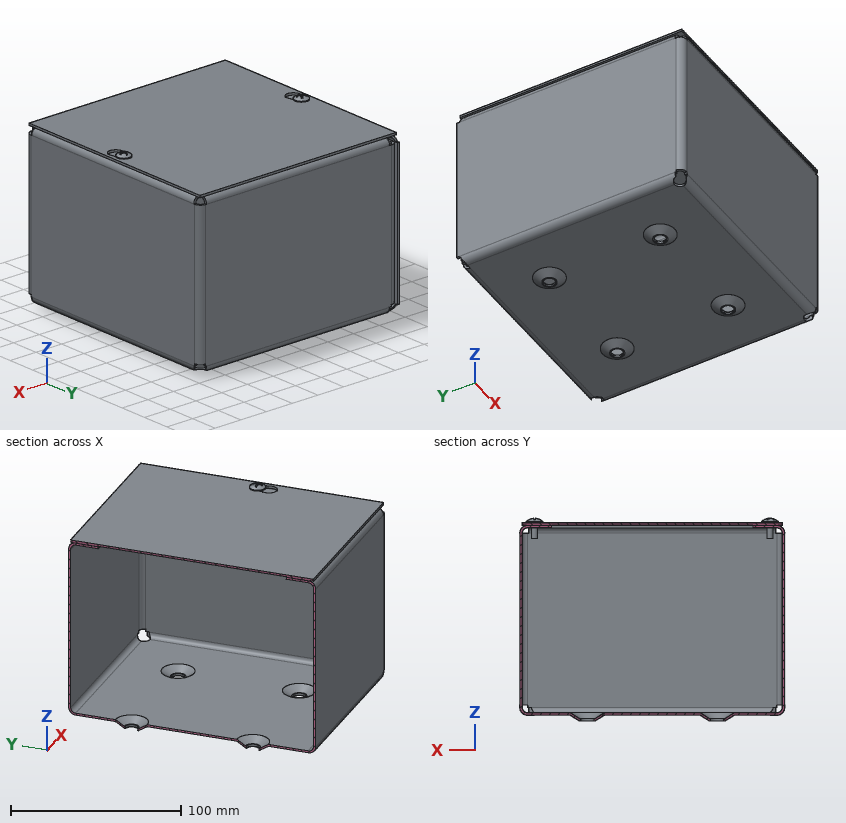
import cadquery as cq
import math

side = 155.5
half_side = side / 2
height = 111.5
sheet = 1.5
bend_radius = 4.7
inner_radius = bend_radius - sheet
flange_width = 18.7

notch_side = 5.3
lower_notch_height = 6.0
relief_diameter = 7.6

seam_notch_x = 7.8
seam_flange_start = 1.9
tab_length = 15.5

foot_offset = 38.1
foot_top_diameter = 19.9
foot_bottom_diameter = 9.0
foot_depth = 3.5
foot_hole_diameter = 7.6

lid_side = 152.8
lid_thickness = sheet
keyhole_diameter = 9.8
keyhole_neck = 8.5
keyhole_shift = 7.2

screw_offset = 69.0
head_diameter = 9.8
head_height = 2.6
head_rim = 0.6
shank_diameter = 3.7
shank_length = 9.3
recess_span = 5.8
recess_width = 1.1
recess_depth = 2.3
recess_taper = 8.0
left_recess_turn = -30.0

SCREW_SPOTS = [(-screw_offset, left_recess_turn), (screw_offset, 0.0)]


def block(x_range, y_range, z_range):
    """Axis-aligned box between the given limits."""
    size = [high - low for low, high in (x_range, y_range, z_range)]
    corner = (x_range[0], y_range[0], z_range[0])
    return cq.Workplane("XY").box(*size, centered=False).translate(corner)


def rounded_block(inset, radius):
    """Box envelope moved in by inset, with every edge rounded but the upright one at the seam."""
    lower, upper = -half_side + inset, half_side - inset
    body = block((lower, upper), (lower, upper), (inset, height - inset))
    return body.edges("|X or |Y or (|Z and (not (<X and >Y)))").fillet(radius)


def folded_shell():
    """Hollow box of even sheet thickness, open at the top inside the rim."""
    opening = half_side - flange_width
    shell = rounded_block(0, bend_radius).cut(rounded_block(sheet, inner_radius))
    return shell.cut(block((-opening, opening), (-opening, opening), (height / 2, height)))


def corner_block(x_sign, y_sign, width, z_range):
    """Square block that fills one upright corner of the box."""
    x_range = sorted((x_sign * half_side, x_sign * (half_side - width)))
    y_range = sorted((y_sign * half_side, y_sign * (half_side - width)))
    return block(x_range, y_range, z_range)


def corner_relief(x_sign, y_sign):
    """Notches above and below one bent corner, and the round relief in the floor."""
    upper_notch = corner_block(x_sign, y_sign, notch_side, (height - bend_radius, height))
    lower_notch = corner_block(x_sign, y_sign, notch_side, (0, bend_radius))
    bend_end = corner_block(x_sign, y_sign, bend_radius, (0, lower_notch_height))
    bend_centre = half_side - bend_radius
    floor_relief = cq.Workplane("XY").circle(relief_diameter / 2).extrude(bend_radius)
    floor_relief = floor_relief.translate((x_sign * bend_centre, y_sign * bend_centre, 0))
    return upper_notch.union(lower_notch).union(bend_end).union(floor_relief)


def seam_notch():
    """Notch over the seam corner; it slants so that the left flange ends beside the back bend."""
    corner = (half_side, height)
    profile = [
        corner,
        (half_side, height - bend_radius),
        (half_side - seam_flange_start, height - bend_radius),
        (half_side - bend_radius, height),
    ]
    prism = cq.Workplane("YZ").polyline(profile).close().extrude(seam_notch_x)
    return prism.translate((-half_side, 0, 0))


def seam_fold():
    """Back wall's bend and tab, lying against the inside of the left wall."""
    tab_face = -half_side + sheet
    bend_x = tab_face + bend_radius
    bend_y = half_side - bend_radius
    diagonal = math.sqrt(0.5)
    section = (
        cq.Workplane("XY")
        .moveTo(bend_x, half_side)
        .threePointArc((bend_x - bend_radius * diagonal, bend_y + bend_radius * diagonal), (tab_face, bend_y))
        .lineTo(tab_face, bend_y - tab_length)
        .lineTo(tab_face + sheet, bend_y - tab_length)
        .lineTo(tab_face + sheet, bend_y)
        .threePointArc(
            (bend_x - inner_radius * diagonal, bend_y + inner_radius * diagonal),
            (bend_x, half_side - sheet),
        )
        .close()
    )
    fold_height = height - bend_radius - lower_notch_height
    return section.extrude(fold_height).translate((0, 0, lower_notch_height))


def fold_seam(shell):
    """Replace the sharp end of the back wall by its fold and notch the flanges around it."""
    back_end = block(
        (-half_side + sheet, -half_side + sheet + bend_radius),
        (half_side - sheet, half_side),
        (0, height),
    )
    upper_notch = seam_notch()
    lower_notch = upper_notch.mirror("XY", (0, 0, height / 2))
    return shell.cut(back_end).cut(upper_notch).cut(lower_notch).union(seam_fold())


def foot_cone(top_z):
    """Cone of a foot hanging from the given level."""
    cone = cq.Solid.makeCone(
        foot_top_diameter / 2, foot_bottom_diameter / 2, foot_depth, cq.Vector(0, 0, top_z), cq.Vector(0, 0, -1)
    )
    return cq.Workplane(cone)


def add_feet(shell):
    """Press the hollow feet out of the floor, each with a mounting hole in its flat end."""
    hole = cq.Workplane("XY").circle(foot_hole_diameter / 2).extrude(-foot_depth)
    for x in (-foot_offset, foot_offset):
        for y in (-foot_offset, foot_offset):
            shell = shell.union(foot_cone(0).translate((x, y, 0)))
            shell = shell.cut(foot_cone(sheet).translate((x, y, 0)))
            shell = shell.cut(hole.translate((x, y, 0)))
    return shell


def make_box():
    """Complete box with its folded seam, reliefs, feet and screw holes."""
    box = fold_seam(folded_shell())
    for x_sign, y_sign in [(-1, -1), (1, -1), (1, 1)]:
        box = box.cut(corner_relief(x_sign, y_sign))
    box = add_feet(box)
    screw_holes = cq.Workplane("XY", origin=(0, 0, height - sheet))
    screw_holes = screw_holes.pushPoints([(x, 0) for x, _ in SCREW_SPOTS])
    return box.cut(screw_holes.circle(shank_diameter / 2).extrude(sheet))


def make_keyhole(x):
    """Narrow slot around the screw that runs into a hole wide enough for the head."""
    base = cq.Workplane("XY", origin=(x, 0, height))
    neck_end = base.circle(keyhole_neck / 2).extrude(lid_thickness)
    neck = base.center(0, -keyhole_shift / 2).rect(keyhole_neck, keyhole_shift).extrude(lid_thickness)
    wide_hole = base.center(0, -keyhole_shift).circle(keyhole_diameter / 2).extrude(lid_thickness)
    return neck_end.union(neck).union(wide_hole)


def make_lid():
    """Flat lid resting on the rim, with a keyhole for each screw."""
    lid = cq.Workplane("XY", origin=(0, 0, height)).rect(lid_side, lid_side).extrude(lid_thickness)
    for x, _ in SCREW_SPOTS:
        lid = lid.cut(make_keyhole(x))
    return lid


def make_screw(x, turn):
    """Domed screw with a cross recess turned about its axis, its head resting on the lid."""
    head_radius = head_diameter / 2
    shank_radius = shank_diameter / 2
    dome_height = head_height - head_rim
    dome_radius = (head_radius**2 + dome_height**2) / (2 * dome_height)
    middle_radius = head_radius / 2
    middle_height = head_height - dome_radius + math.sqrt(dome_radius**2 - middle_radius**2)
    screw = (
        cq.Workplane("XZ")
        .moveTo(0, head_height)
        .threePointArc((middle_radius, middle_height), (head_radius, head_rim))
        .lineTo(head_radius, 0)
        .lineTo(shank_radius, 0)
        .lineTo(shank_radius, -shank_length)
        .lineTo(0, -shank_length)
        .close()
        .revolve(360, (0, 0, 0), (0, 1, 0))
    )
    head_top = cq.Workplane("XY", origin=(0, 0, head_height))
    for angle in (0, 90):
        arm = head_top.rect(recess_span, recess_width).extrude(-recess_depth, taper=recess_taper)
        screw = screw.cut(arm.rotate((0, 0, 0), (0, 0, 1), turn + angle))
    return screw.translate((x, 0, height + lid_thickness))


box = make_box()
lid = make_lid()
screws = [make_screw(x, turn) for x, turn in SCREW_SPOTS]

bodies = [box, lid, *screws]
result = cq.Compound.makeCompound([body.solids().val() for body in bodies])